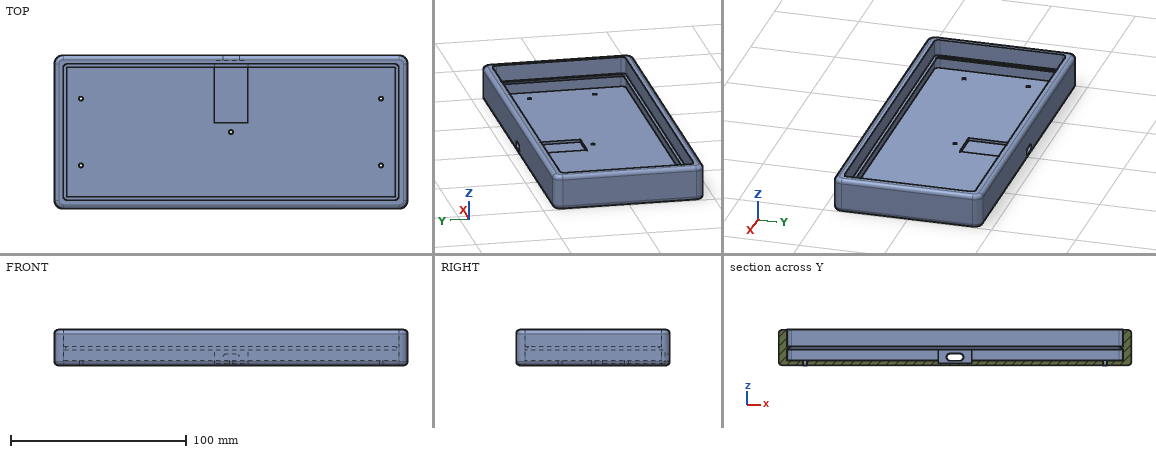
import cadquery as cq

length = 201.85
width = 87.85
height = 20.6
corner_radius = 5.0
edge_radius = 2.5

wall = 5.0
cavity_radius = 2.5
floor_z = 3.0
ledge_width = 2.0
ledge_top_z = 11.0
ledge_bottom_z = ledge_top_z - ledge_width

key_pitch = 19.05
screw_diameter = 2.2
screw_x = 4.5 * key_pitch
screw_y = key_pitch

pocket_width = 19.0
pocket_front_y = 5.4
pocket_depth = 1.6
pocket_wall_depth = 2.0
pocket_back_y = width / 2 - wall + pocket_wall_depth

slot_width = 9.5
slot_height = 4.0
slot_z = 4.8


def box_between(x_size, y_min, y_max, z_min, z_max):
    """Box centred on X, spanning the given Y and Z ranges."""
    return (
        cq.Workplane("XY", origin=(0, (y_min + y_max) / 2, z_min))
        .rect(x_size, y_max - y_min)
        .extrude(z_max - z_min)
    )


def make_shell():
    """Solid block with rounded corners and rounded top and bottom rims."""
    block = cq.Workplane("XY").rect(length, width).extrude(height)
    return block.edges("|Z").fillet(corner_radius).faces("<Z or >Z").edges().fillet(edge_radius)


def make_cavity_level(z_min, z_max):
    """One level of the cavity, with rounded vertical corners."""
    level = box_between(length - 2 * wall, wall - width / 2, width / 2 - wall, z_min, z_max)
    return level.edges("|Z").fillet(cavity_radius)


def make_cavity():
    """Two cavity levels; the chamfered rim of the lower one leaves the ledge standing."""
    lower = make_cavity_level(floor_z, ledge_top_z).faces(">Z").edges().chamfer(ledge_width)
    upper = make_cavity_level(ledge_top_z, height)
    return lower.union(upper)


def make_screw_holes():
    """Clearance holes through the floor: four on a rectangle and one at the centre."""
    corners = [(x, y) for x in (-screw_x, screw_x) for y in (-screw_y, screw_y)]
    return cq.Workplane("XY").pushPoints(corners + [(0, 0)]).circle(screw_diameter / 2).extrude(floor_z)


def make_pocket():
    """Pocket for the controller board, reaching under the ledge at the back."""
    return box_between(
        pocket_width, pocket_front_y, pocket_back_y, floor_z - pocket_depth, ledge_bottom_z
    )


def make_connector_slot():
    """Round-ended slot from the pocket out through the back wall."""
    return (
        cq.Workplane("XZ", origin=(0, width / 2, slot_z))
        .slot2D(slot_width, slot_height)
        .extrude(wall)
    )


result = (
    make_shell()
    .cut(make_cavity())
    .cut(make_screw_holes())
    .cut(make_pocket())
    .cut(make_connector_slot())
)